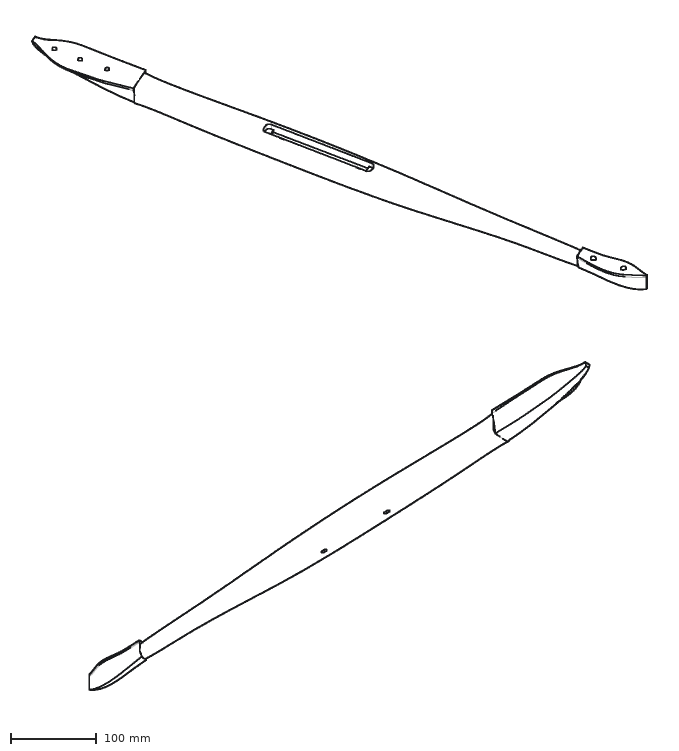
import cadquery as cq
import math

length = 805.0
front_shoulder = 139.0
rear_shoulder = 717.0
top = 38.0
cut_height = 80.5

section_points = 32
body_stations = [
    (front_shoulder, 14.1, 6.0, top, 8, 5),
    (173.0, 11.7, 3.0, top, 8, 5),
    (257.5, 13.0, 1.0, top, 7, 5),
    (370.0, 14.1, 0.0, top, 6, 4.5),
    (459.0, 14.0, 0.0, 37.0, 4, 4),
    (563.5, 11.0, 3.0, 35.0, 2.5, 2.5),
    (644.0, 9.0, 6.0, 33.0, 2, 2),
    (rear_shoulder, 7.0, 6.5, 30.0, 2, 2),
]

front_pad_stations = [
    (0.0, 4.0, 2.5, 32.0, top),
    (8.0, 6.0, 3.6, 26.5, 36.0),
    (21.0, 12.0, 5.0, 22.0, 35.0),
    (35.5, 18.0, 6.0, 18.0, 34.0),
    (69.0, 20.0, 7.0, 11.0, 33.0),
    (105.0, 18.9, 9.0, 7.0, 35.0),
    (123.0, 17.3, 10.0, 6.5, 36.0),
    (front_shoulder, 16.0, 10.1, 6.0, top),
]
rear_pad_stations = [
    (rear_shoulder, 7.65, 4.0, 6.5, 30.0),
    (736.5, 9.25, 3.0, 4.0, 27.0),
    (761.0, 11.0, 2.8, 1.0, 28.0),
    (777.0, 10.1, 2.5, 1.0, 30.5),
    (793.0, 5.0, 2.0, 4.0, 32.0),
    (length, 1.0, 1.0, 10.0, 33.0),
]
rim_share = 0.12
waist_share = 0.45
waist_pull = 0.35

front_screw_diameter = 5.1
rear_screw_diameter = 6.3
front_screws = [27.0, 61.0, 96.5]
rear_screws = [735.0, 774.0]
front_deck = 34.0
rear_deck = 29.0
screw_depth = 8.0
pocket_start = 303.5
pocket_end = 445.0
pocket_width = 14.0
pocket_depth = 12.0
ledge_length = 8.0
ledge_depth = 8.0
pocket_corner = 5.0
slot_centres = [324.5, 426.0]
slot_length = 8.0
slot_width = 3.0


def body_wire(x, half_width, bottom, top, top_power, bottom_power):
    """Smooth superellipse across the body, with separate powers above and below the middle."""
    middle = (top + bottom) / 2
    half_height = (top - bottom) / 2
    points = []
    for step in range(section_points):
        angle = 2 * math.pi * step / section_points
        across = math.cos(angle)
        up = math.sin(angle)
        power = top_power if up > 0 else bottom_power
        size = (abs(across) ** power + abs(up) ** power) ** (1 / power)
        points.append((half_width * across / size, middle + half_height * up / size))
    return cq.Workplane("YZ", origin=(x, 0, 0)).spline(points, periodic=True).close().val()


def pad_wire(x, deck_half, keel_half, bottom, deck):
    """Flat deck with an upright rim and hollow flanks running down to a narrow keel."""
    height = deck - bottom
    rim = deck - rim_share * height
    waist = bottom + waist_share * height
    waist_half = keel_half + waist_pull * (deck_half - keel_half)
    outline = (
        cq.Workplane("YZ", origin=(x, 0, 0))
        .moveTo(-keel_half, bottom)
        .lineTo(keel_half, bottom)
        .spline([(waist_half, waist), (deck_half, rim)], includeCurrent=True)
        .lineTo(deck_half, deck)
        .lineTo(-deck_half, deck)
        .lineTo(-deck_half, rim)
        .spline([(-waist_half, waist), (-keel_half, bottom)], includeCurrent=True)
        .close()
    )
    return outline.val()


def loft(wires):
    return cq.Workplane(cq.Solid.makeLoft(wires))


def screw_hole(x, deck, diameter):
    return cq.Workplane(origin=(x, 0, deck - screw_depth)).circle(diameter / 2).extrude(cut_height)


body = loft([body_wire(*station) for station in body_stations])
front_pad = loft([pad_wire(*station) for station in front_pad_stations])
rear_pad = loft([pad_wire(*station) for station in rear_pad_stations])
result = body.union(front_pad).union(rear_pad)

pocket_length = pocket_end - pocket_start
pocket_centre = (pocket_start + pocket_end) / 2
pocket = (
    cq.Workplane(origin=(pocket_centre, 0, top - ledge_depth))
    .rect(pocket_length, pocket_width)
    .extrude(cut_height)
    .edges("|Z")
    .fillet(pocket_corner)
)
deep_floor = (
    cq.Workplane(origin=(pocket_centre, 0, top - pocket_depth))
    .rect(pocket_length - 2 * ledge_length, pocket_width)
    .extrude(cut_height)
)
slots = (
    cq.Workplane()
    .pushPoints([(x, 0) for x in slot_centres])
    .slot2D(slot_length, slot_width)
    .extrude(cut_height)
)
result = result.cut(pocket).cut(deep_floor).cut(slots)

for x in front_screws:
    result = result.cut(screw_hole(x, front_deck, front_screw_diameter))
for x in rear_screws:
    result = result.cut(screw_hole(x, rear_deck, rear_screw_diameter))